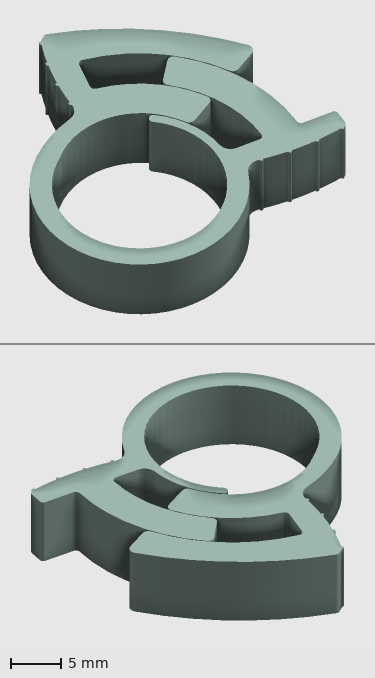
import cadquery as cq
import math


height = 7.2

ring_outer_radius = 10.95
bore_radius = 8.73
lip_thickness = 0.95
lip_end_angle = 104.7

clearance = 0.1
inner_arm_thickness = 4.1
middle_arm_thickness = 3.95
arm_overlap_angle = 11.3

lip_top_radius = bore_radius + lip_thickness
inner_arm_bottom = lip_top_radius + clearance
inner_arm_top = inner_arm_bottom + inner_arm_thickness
middle_arm_bottom = inner_arm_top + clearance
middle_arm_top = middle_arm_bottom + middle_arm_thickness
outer_arm_bottom = middle_arm_top + clearance

left_arm_end = 90 - arm_overlap_angle
right_arm_end = 90 + arm_overlap_angle

left_root_angle = 130.6
right_root_angle = 48.1

outer_arm_top_radius = 36.7
outer_arm_end_radius = 22.15
left_grip_corner = (-16.05, 15.98)

bore_wide_middle = (-6.27, 7.32)
bore_wide_end = (-bore_radius, 0.82)

left_neck = (-9.12, 7.1)
left_leg_middle = (-10.55, 3.33)
left_flank_centre = (5.62, 27.2)
left_flank_end_angle = 209.4
right_neck_angle = 36.5
right_flank_centre = (-7.03, 28.6)
right_flank_end_angle = 329.3
handle_top_radius = 22.03
handle_shoulder = (16.2, 15.15)

rib_radius = 0.212
rib_count = 4
left_rib_start = 209.9
left_rib_step = 6.8
right_rib_start = 328.6
right_rib_step = -6.5

neck_fillet = 1.57
arm_tip_fillet = 0.8
arm_end_fillet = 0.65
root_fillet = 0.5
lip_root_fillet = 1.3
grip_fillet = 0.4
lip_end_fillet = 0.42


def polar(radius, angle, centre=(0, 0)):
    """Point at a radius and an angle in degrees about a centre."""
    a = math.radians(angle)
    return (centre[0] + radius * math.cos(a), centre[1] + radius * math.sin(a))


def angle_about(centre, point):
    """Direction of a point from a centre, in degrees from 0 to 360."""
    return math.degrees(math.atan2(point[1] - centre[1], point[0] - centre[0])) % 360


def arc_about(path, radius, start, end, centre=(0, 0)):
    """Continue a path, now at the start angle, along a circle to the end angle."""
    middle = polar(radius, (start + end) / 2, centre)
    return path.threePointArc(middle, polar(radius, end, centre))


def bulge_point(start, end, radius):
    """Middle of the minor arc from start to end, bulging to the left of travel."""
    dx = end[0] - start[0]
    dy = end[1] - start[1]
    chord = math.hypot(dx, dy)
    sagitta = radius - math.sqrt(radius**2 - chord**2 / 4)
    middle_x = (start[0] + end[0]) / 2
    middle_y = (start[1] + end[1]) / 2
    return (middle_x - sagitta * dy / chord, middle_y + sagitta * dx / chord)


right_neck = polar(ring_outer_radius, right_neck_angle)
left_flank_radius = math.dist(left_flank_centre, left_neck)
right_flank_radius = math.dist(right_flank_centre, right_neck)
right_flank_end = polar(right_flank_radius, right_flank_end_angle, right_flank_centre)
outer_arm_tip = polar(outer_arm_end_radius, left_arm_end)
handle_corner = polar(handle_top_radius, right_root_angle)


def clip_outline():
    """Closed outline of the clip with sharp corners, walked clockwise outside."""
    path = cq.Workplane("XY").moveTo(*right_neck)
    path = path.threePointArc((0, -ring_outer_radius), (-ring_outer_radius, 0))
    path = path.threePointArc(left_leg_middle, left_neck)
    left_start = angle_about(left_flank_centre, left_neck)
    path = arc_about(path, left_flank_radius, left_start, left_flank_end_angle, left_flank_centre)
    path = path.lineTo(*left_grip_corner)

    top_middle = bulge_point(left_grip_corner, outer_arm_tip, outer_arm_top_radius)
    path = path.threePointArc(top_middle, outer_arm_tip)
    path = path.lineTo(*polar(outer_arm_bottom, left_arm_end))
    path = arc_about(path, outer_arm_bottom, left_arm_end, left_root_angle)
    path = path.lineTo(*polar(inner_arm_top, left_root_angle))
    path = arc_about(path, inner_arm_top, left_root_angle, left_arm_end)
    path = path.lineTo(*polar(inner_arm_bottom, left_arm_end))
    path = arc_about(path, inner_arm_bottom, left_arm_end, 90)

    path = path.threePointArc(bore_wide_middle, bore_wide_end)
    path = path.lineTo(-bore_radius, 0)
    path = arc_about(path, bore_radius, 180, 360 + lip_end_angle)

    path = path.lineTo(*polar(lip_top_radius, lip_end_angle))
    path = arc_about(path, lip_top_radius, lip_end_angle, right_root_angle)
    path = path.lineTo(*polar(middle_arm_bottom, right_root_angle))
    path = arc_about(path, middle_arm_bottom, right_root_angle, right_arm_end)
    path = path.lineTo(*polar(middle_arm_top, right_arm_end))
    path = arc_about(path, middle_arm_top, right_arm_end, right_root_angle)

    path = path.lineTo(*handle_corner)
    path = path.lineTo(*handle_shoulder)
    path = path.lineTo(*right_flank_end)
    right_end = angle_about(right_flank_centre, right_neck)
    path = arc_about(path, right_flank_radius, right_flank_end_angle, right_end, right_flank_centre)
    return path.close()


def round_corners(body, radius, corners):
    """Fillet the upright edges that stand at the given corner points."""
    for x, y in corners:
        nearest = cq.selectors.NearestToPointSelector((x, y, height / 2))
        body = body.edges("|Z").edges(nearest).fillet(radius)
    return body


def ribs(centre, flank_radius, start, step):
    """Row of small round upright ribs along a grip flank."""
    places = [polar(flank_radius, start + i * step, centre) for i in range(rib_count)]
    return cq.Workplane("XY").pushPoints(places).circle(rib_radius).extrude(height)


clip = clip_outline().extrude(height)

clip = round_corners(clip, neck_fillet, [left_neck, right_neck])
clip = round_corners(clip, arm_tip_fillet, [outer_arm_tip])
clip = round_corners(clip, arm_end_fillet, [
    polar(outer_arm_bottom, left_arm_end),
    polar(inner_arm_top, left_arm_end),
    polar(inner_arm_bottom, left_arm_end),
    polar(middle_arm_bottom, right_arm_end),
    polar(middle_arm_top, right_arm_end),
])
clip = round_corners(clip, root_fillet, [
    polar(outer_arm_bottom, left_root_angle),
    polar(inner_arm_top, left_root_angle),
    polar(middle_arm_bottom, right_root_angle),
    polar(middle_arm_top, right_root_angle),
])
clip = round_corners(clip, lip_root_fillet, [polar(lip_top_radius, right_root_angle)])
clip = round_corners(clip, grip_fillet, [left_grip_corner, handle_corner, handle_shoulder])
clip = round_corners(clip, lip_end_fillet, [
    polar(bore_radius, lip_end_angle),
    polar(lip_top_radius, lip_end_angle),
])

clip = clip.union(ribs(left_flank_centre, left_flank_radius, left_rib_start, left_rib_step))
result = clip.union(ribs(right_flank_centre, right_flank_radius, right_rib_start, right_rib_step))